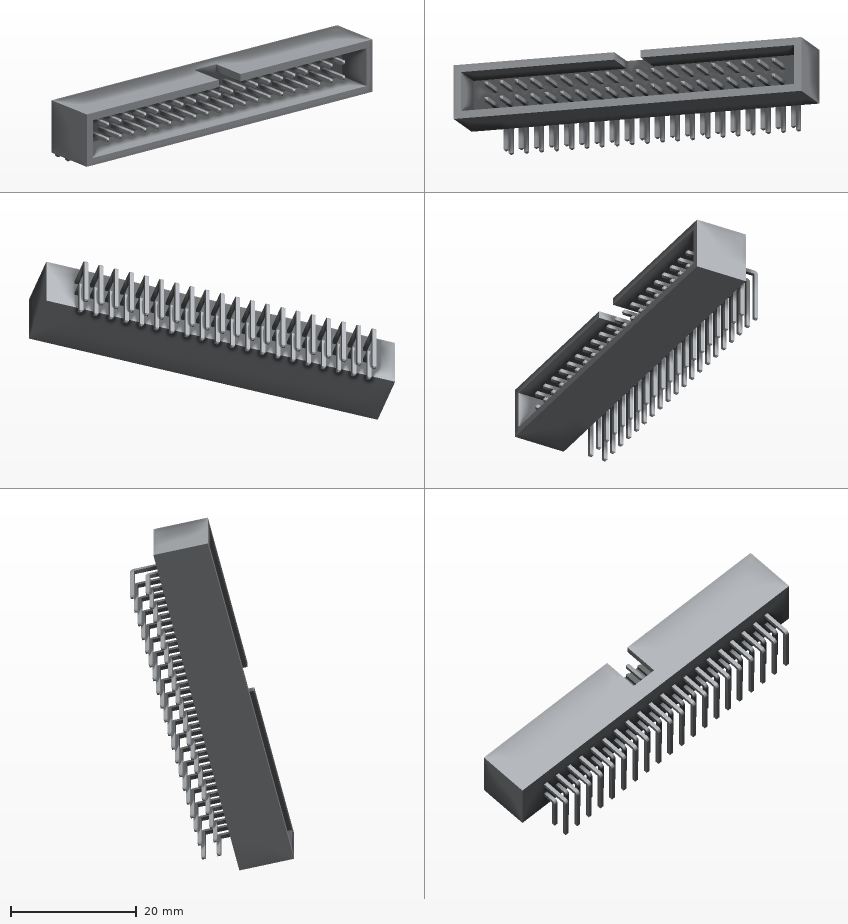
import cadquery as cq


BODY_LENGTH = 58.4
BODY_DEPTH = 8.95
BODY_HEIGHT = 8.8
WALL = 1.2
CAVITY_DEPTH = 6.2
KEY_WIDTH = 4.45

PIN_COLUMNS = 20
PIN_ROW_LENGTH = 48.25
PIN_PITCH = PIN_ROW_LENGTH / (PIN_COLUMNS - 1)
PIN_SIZE = 0.65
BEND_RADIUS = PIN_SIZE
TIP_CHAMFER = 0.25
TIP_RECESS = 0.8
TAIL_REACH = 4.95
TAIL_DROP = 3.1

CAVITY_FLOOR_X = BODY_DEPTH - CAVITY_DEPTH
PIN_TIP_X = BODY_DEPTH - TIP_RECESS
TAIL_END_Z = -TAIL_DROP


def make_shroud():
    shroud = cq.Workplane("XY").box(
        BODY_DEPTH, BODY_LENGTH, BODY_HEIGHT, centered=(False, True, False)
    )
    cavity = (
        cq.Workplane("XY")
        .box(
            CAVITY_DEPTH,
            BODY_LENGTH - 2 * WALL,
            BODY_HEIGHT - 2 * WALL,
            centered=(False, True, False),
        )
        .translate((CAVITY_FLOOR_X, 0, WALL))
    )
    key_slot = (
        cq.Workplane("XY")
        .box(CAVITY_DEPTH, KEY_WIDTH, WALL, centered=(False, True, False))
        .translate((CAVITY_FLOOR_X, 0, BODY_HEIGHT - WALL))
    )
    return shroud.cut(cavity).cut(key_slot)


def make_pin(tail_x, top_z):
    """Square bent pin at Y = 0, from its outer tail face tail_x and its upper face top_z."""
    pin = (
        cq.Workplane("XZ")
        .moveTo(tail_x, TAIL_END_Z)
        .lineTo(tail_x, top_z)
        .lineTo(PIN_TIP_X, top_z)
        .lineTo(PIN_TIP_X, top_z - PIN_SIZE)
        .lineTo(tail_x + PIN_SIZE, top_z - PIN_SIZE)
        .lineTo(tail_x + PIN_SIZE, TAIL_END_Z)
        .close()
        .extrude(PIN_SIZE / 2, both=True)
    )
    pin = pin.faces("<X").edges(">Z").fillet(BEND_RADIUS)
    return pin.faces("<Z or >X").chamfer(TIP_CHAMFER)


upper_top_z = (BODY_HEIGHT + PIN_PITCH + PIN_SIZE) / 2
upper_pin = make_pin(-TAIL_REACH, upper_top_z)
lower_pin = make_pin(-TAIL_REACH + PIN_PITCH, upper_top_z - PIN_PITCH)

result = make_shroud()
for column in range(PIN_COLUMNS):
    pin_y = column * PIN_PITCH - PIN_ROW_LENGTH / 2
    for pin in (upper_pin, lower_pin):
        result = result.union(pin.translate((0, pin_y, 0)))